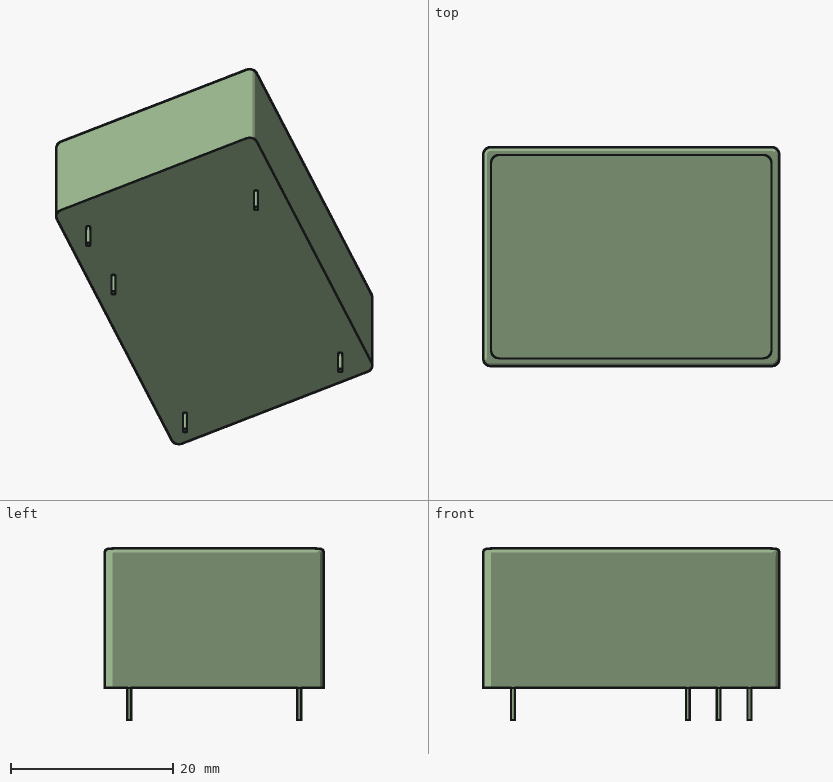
import cadquery as cq

length = 36.5
width = 27.0
total_height = 21.2

pin_length = 3.98
corner_radius = 1.0
top_edge_radius = 0.5

panel_margin = 1.0
panel_corner_radius = 1.0
panel_rise = 0.07

pin_diameter = 0.5
row_offset = 10.48
end_pin_x = 14.55
pin_pitch = 3.8
front_row_x = (-end_pin_x, end_pin_x - 2 * pin_pitch, end_pin_x)
back_row_x = (-end_pin_x, end_pin_x - pin_pitch)

case_height = total_height - pin_length - panel_rise


def make_case():
    """Block standing on Z = 0 with rounded corners and a rounded top rim."""
    block = cq.Workplane("XY").box(length, width, case_height, centered=(True, True, False))
    return block.edges("|Z").fillet(corner_radius).faces(">Z").edges().fillet(top_edge_radius)


def make_panel():
    """Thin rounded plate lying on the top face of the case."""
    plate = (
        cq.Workplane("XY")
        .workplane(offset=case_height)
        .rect(length - 2 * panel_margin, width - 2 * panel_margin)
        .extrude(panel_rise)
    )
    return plate.edges("|Z").fillet(panel_corner_radius)


def make_pins():
    """Two rows of round pins hanging below the case."""
    centres = [(x, -row_offset) for x in front_row_x]
    centres += [(x, row_offset) for x in back_row_x]
    return cq.Workplane("XY").pushPoints(centres).circle(pin_diameter / 2).extrude(-pin_length)


result = make_case().union(make_panel()).union(make_pins())